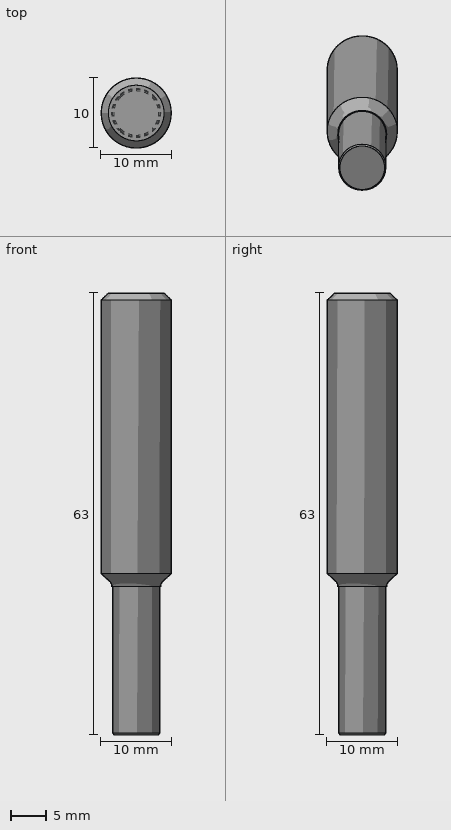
import cadquery as cq
import math

total_length = 63.0
shank_radius = 10.0 / 2
neck_radius = 7.0 / 2
pin_radius = 6.75 / 2

top_face_radius = 7.95 / 2
top_chamfer_height = 1.0
pin_chamfer_height = 0.3
pin_chamfer_inset = 0.2
neck_fillet = 1.0
shoulder_angle = math.radians(48)

shoulder_top = 23.0

fillet_radial = neck_fillet * (1 - math.cos(shoulder_angle))
fillet_height = neck_fillet * math.sin(shoulder_angle)
fillet_top_radius = neck_radius + fillet_radial
fillet_top = shoulder_top - (shank_radius - fillet_top_radius) / math.tan(shoulder_angle)
shank_bottom = fillet_top - fillet_height

half_angle = shoulder_angle / 2
fillet_mid_radius = neck_radius + neck_fillet * (1 - math.cos(half_angle))
fillet_mid = shank_bottom + neck_fillet * math.sin(half_angle)


def make_shank():
    """Round shank with a chamfered top and a conical shoulder flowing into the neck."""
    return (
        cq.Workplane("XZ")
        .moveTo(0, shank_bottom)
        .lineTo(neck_radius, shank_bottom)
        .threePointArc((fillet_mid_radius, fillet_mid), (fillet_top_radius, fillet_top))
        .lineTo(shank_radius, shoulder_top)
        .lineTo(shank_radius, total_length - top_chamfer_height)
        .lineTo(top_face_radius, total_length)
        .lineTo(0, total_length)
        .close()
        .revolve(360, (0, 0), (0, 1))
    )


def make_pin():
    """Pin that butts against the shank, with a small chamfer at its free end."""
    return (
        cq.Workplane("XY")
        .circle(pin_radius)
        .extrude(shank_bottom)
        .faces("<Z")
        .chamfer(pin_chamfer_height, pin_chamfer_inset)
    )


shank = make_shank()
pin = make_pin()

result = cq.Compound.makeCompound([shank.val(), pin.val()])